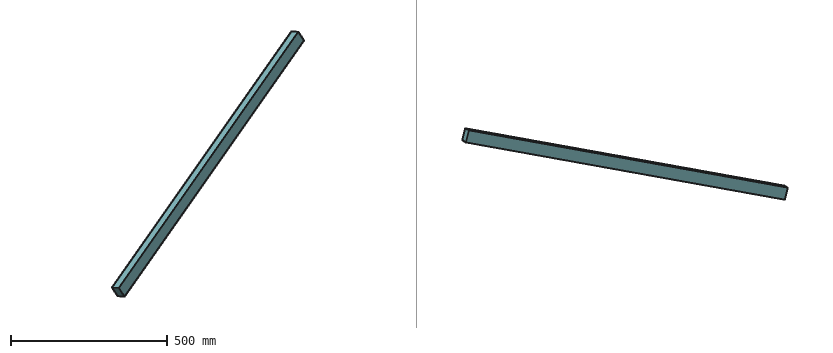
import cadquery as cq
import math

envelope_width = 46.76
envelope_height = 50.14
bar_length = 1156.71

roll_angle = 31.6

roll_cos = math.cos(math.radians(roll_angle))
roll_sin = math.sin(math.radians(roll_angle))
divisor = roll_cos**2 - roll_sin**2
section_width = (envelope_width * roll_cos - envelope_height * roll_sin) / divisor
section_height = (envelope_height * roll_cos - envelope_width * roll_sin) / divisor


def make_bar():
    """Plain rectangular bar along Y, centred on the origin and rolled about Y."""
    bar = cq.Workplane("XY").box(section_width, bar_length, section_height)
    return bar.rotate((0, 0, 0), (0, 1, 0), -roll_angle)


result = make_bar()